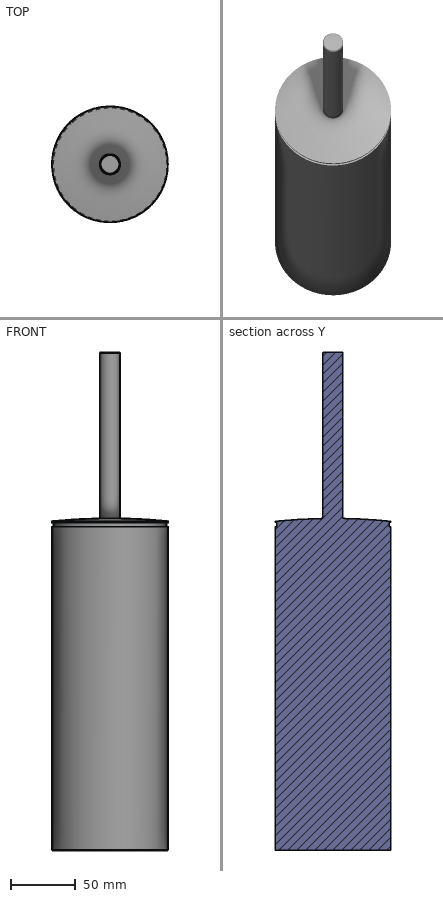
import cadquery as cq

total_height = 385.0
body_diameter = 89.7
body_radius = body_diameter / 2

canister_height = 250.2
bottom_chamfer = 0.8

neck_height = 3.0
neck_inset = 1.0
neck_radius = body_radius - neck_inset
lid_bottom = canister_height + neck_height

rim_height = 1.0
dome_rise = 2.5
rim_top = lid_bottom + rim_height
dome_top = rim_top + dome_rise

rod_diameter = 15.8
rod_chamfer = 0.8


def make_canister():
    canister = cq.Workplane("XY").circle(body_radius).extrude(canister_height)
    return canister.faces("<Z").edges().chamfer(bottom_chamfer)


def make_lid():
    """Revolve the neck, the rim and the dome as one profile."""
    dome_radius = (body_radius**2 + dome_rise**2) / (2 * dome_rise)
    mid_radius = body_radius / 2
    mid_height = dome_top - dome_radius + (dome_radius**2 - mid_radius**2) ** 0.5
    profile = (
        cq.Workplane("XZ")
        .moveTo(0, canister_height)
        .lineTo(neck_radius, canister_height)
        .lineTo(neck_radius, lid_bottom)
        .lineTo(body_radius, lid_bottom)
        .lineTo(body_radius, rim_top)
        .threePointArc((mid_radius, mid_height), (0, dome_top))
        .close()
    )
    return profile.revolve(360, (0, 0, 0), (0, 1, 0))


def make_rod():
    """The rod starts inside the lid so that it joins the dome all round."""
    rod = (
        cq.Workplane("XY")
        .workplane(offset=lid_bottom)
        .circle(rod_diameter / 2)
        .extrude(total_height - lid_bottom)
    )
    return rod.faces(">Z").edges().chamfer(rod_chamfer)


result = make_canister().union(make_lid()).union(make_rod())